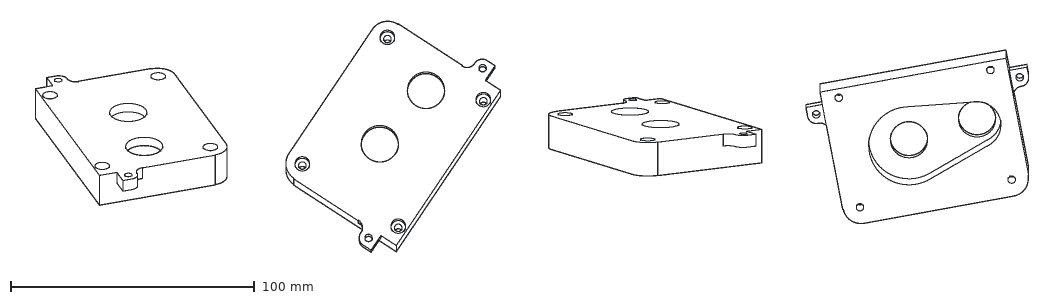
import cadquery as cq
import math

overall_width = 92.4
body_width = 77.8
body_depth = 58.0
body_height = 14.0
corner_radius = 7.5
side_inset = 0.3

ear_height = 5.0
ear_front = 7.6
ear_depth = 7.6
ear_corner_radius = 3.7
ear_fillet_radius = 3.6
ear_hole_diameter = 3.05
ear_hole_x = 42.5
ear_hole_y = 11.3

screw_spacing_x = 63.4
screw_spacing_y = 47.2
screw_front = 3.8
screw_diameter = 3.05
head_diameter = 6.0
head_depth = 3.5

window_diameter = 15.2
left_window = (-7.1, 29.1)
right_window = (22.0, 25.6)
left_pocket_radius = 16.5
right_pocket_radius = 9.8
window_wall = 4.0


def make_body():
    half = body_width / 2
    rear_half = half - side_inset
    rear_start = body_depth - corner_radius
    diagonal = corner_radius * (1 - math.sqrt(0.5))
    return (
        cq.Workplane("XY")
        .moveTo(-half, 0)
        .lineTo(half, 0)
        .lineTo(half, rear_start)
        .lineTo(rear_half, rear_start)
        .threePointArc(
            (rear_half - diagonal, body_depth - diagonal),
            (rear_half - corner_radius, body_depth),
        )
        .lineTo(corner_radius - rear_half, body_depth)
        .threePointArc(
            (diagonal - rear_half, body_depth - diagonal),
            (-rear_half, rear_start),
        )
        .lineTo(-half, rear_start)
        .close()
        .extrude(-body_height)
    )


def make_ear():
    """Right ear, with a concave arc that ends just inside the side wall."""
    inner = body_width / 2 - side_inset
    outer = overall_width / 2
    rear = ear_front + ear_depth
    blend_offset = ear_fillet_radius * (1 - math.sqrt(0.5))
    corner_offset = ear_corner_radius * (1 - math.sqrt(0.5))
    return (
        cq.Workplane("XY")
        .moveTo(0, ear_front)
        .lineTo(outer, ear_front)
        .lineTo(outer, rear - ear_corner_radius)
        .threePointArc(
            (outer - corner_offset, rear - corner_offset),
            (outer - ear_corner_radius, rear),
        )
        .lineTo(inner + ear_fillet_radius, rear)
        .threePointArc(
            (inner + blend_offset, rear + blend_offset),
            (inner, rear + ear_fillet_radius),
        )
        .lineTo(0, rear + ear_fillet_radius)
        .close()
        .extrude(-ear_height)
    )


def make_ear_recess():
    """Shallow strip of the right side wall that the ear and its arc replace."""
    return (
        cq.Workplane("XY")
        .moveTo(body_width / 2 - side_inset, ear_front)
        .rect(side_inset, ear_depth + ear_fillet_radius, centered=False)
        .extrude(-ear_height)
    )


def make_pocket():
    """Two arcs around the window centres, joined by their outer tangents."""
    dx = right_window[0] - left_window[0]
    dy = right_window[1] - left_window[1]
    axis_angle = math.atan2(dy, dx)
    tangent_angle = math.acos((left_pocket_radius - right_pocket_radius) / math.hypot(dx, dy))

    def on_arc(centre, radius, angle):
        return (
            centre[0] + radius * math.cos(axis_angle + angle),
            centre[1] + radius * math.sin(axis_angle + angle),
        )

    return (
        cq.Workplane("XY")
        .workplane(offset=-body_height)
        .moveTo(*on_arc(left_window, left_pocket_radius, tangent_angle))
        .threePointArc(
            on_arc(left_window, left_pocket_radius, math.pi),
            on_arc(left_window, left_pocket_radius, -tangent_angle),
        )
        .lineTo(*on_arc(right_window, right_pocket_radius, -tangent_angle))
        .threePointArc(
            on_arc(right_window, right_pocket_radius, 0),
            on_arc(right_window, right_pocket_radius, tangent_angle),
        )
        .close()
        .extrude(body_height - window_wall)
    )


def cylinders(points, diameter, depth):
    """Vertical cutters reaching down from the top face."""
    return cq.Workplane("XY").pushPoints(points).circle(diameter / 2).extrude(-depth)


screw_points = [
    (side * screw_spacing_x / 2, y)
    for side in (-1, 1)
    for y in (screw_front, screw_front + screw_spacing_y)
]
ear_hole_points = [(side * ear_hole_x, ear_hole_y) for side in (-1, 1)]

ear = make_ear()
ear_recess = make_ear_recess()
result = make_body().cut(ear_recess).cut(ear_recess.mirror("YZ"))
result = result.union(ear).union(ear.mirror("YZ"))
result = result.cut(make_pocket())
result = result.cut(cylinders([left_window, right_window], window_diameter, body_height))
result = result.cut(cylinders(screw_points, screw_diameter, body_height))
result = result.cut(cylinders(screw_points, head_diameter, head_depth))
result = result.cut(cylinders(ear_hole_points, ear_hole_diameter, ear_height))